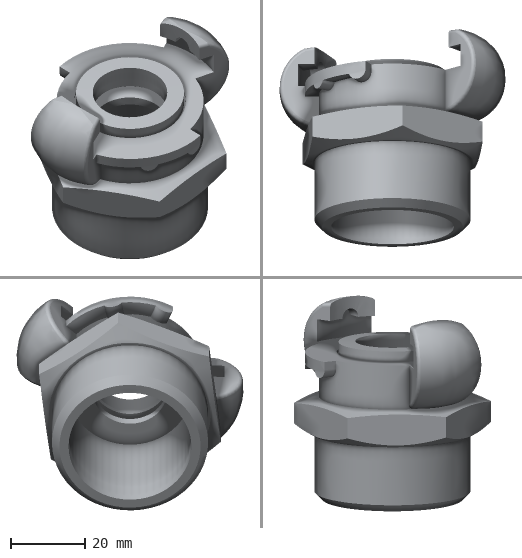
import cadquery as cq
import math

hex_bottom = 18.0
hex_top = 27.95
flange_top = 40.0
seal_top = 43.0

thread_radius = 21.0
thread_chamfer = 2.0
hex_flats = 45.95
hex_corner_radius = hex_flats / math.sqrt(3)
bottom_chamfer_angle = 30.0
corner_top_z = 26.3
corner_bottom_z = 20.8

neck_radius = 19.8
lug_radius = 23.5
lug_thickness = 3.0
bump_radius = 2.5
bump_center_z = 37.8
bump_drop = bump_radius - (bump_center_z - (flange_top - lug_thickness))
second_bump_angle = -34.5

claw_half_angle = 20.0
claw_reach = 31.5
claw_tube_radius = flange_top - hex_top
claw_plan_radius = 18.9
claw_axis_y = claw_reach - claw_plan_radius
claw_root_radius = 17.65
claw_lip_radius = 21.0
claw_tip_z = 51.9
claw_crown_radius = 22.7
claw_edge_fillet = 1.0
slot_radius = 25.4
slot_top = 46.1

bore_radius = 10.0
recess_radius = 15.0
recess_floor = 32.35
inlet_radius = 16.5
inlet_top = 29.85
seal_diameter = 29.0
seal_radius = seal_diameter / 2
seal_rim_z = 42.8
seal_bottom = 36.0
seal_shoulder_z = 39.35
seal_bore_chamfer = 0.5

far = 2 * claw_reach


def disc(radius, bottom, top):
    """Solid cylinder on the Z axis between two heights."""
    return cq.Workplane("XY", origin=(0, 0, bottom)).circle(radius).extrude(top - bottom)


def sector(start_angle, end_angle, bottom, top):
    """Triangular wedge with its point on the Z axis, between two azimuths in degrees."""
    corners = [(0, 0)]
    for angle in (start_angle, end_angle):
        azimuth = math.radians(angle)
        corners.append((far * math.cos(azimuth), far * math.sin(azimuth)))
    return cq.Workplane("XY", origin=(0, 0, bottom)).polyline(corners).close().extrude(top - bottom)


def make_threaded_end():
    return disc(thread_radius, 0, hex_bottom).faces("<Z").chamfer(thread_chamfer)


def make_hexagon():
    """Hexagon with corners on the Y axis and both ends turned to a cone."""
    prism = (
        cq.Workplane("XY", origin=(0, 0, hex_bottom))
        .polygon(6, 2 * hex_corner_radius)
        .extrude(hex_top - hex_bottom)
        .rotate((0, 0, 0), (0, 0, 1), 90)
    )
    bottom_run = (corner_bottom_z - hex_bottom) / math.tan(math.radians(bottom_chamfer_angle))
    turned_profile = [
        (0, hex_bottom),
        (hex_corner_radius - bottom_run, hex_bottom),
        (hex_corner_radius, corner_bottom_z),
        (hex_corner_radius, corner_top_z),
        (neck_radius, hex_top),
        (0, hex_top),
    ]
    turned = cq.Workplane("XZ").polyline(turned_profile).close().revolve(360, (0, 0, 0), (0, 1, 0))
    return prism.intersect(turned)


def make_bump(angle):
    """Radial half-round detent under the lug at an azimuth in degrees."""
    rod = (
        cq.Workplane("YZ")
        .center(0, bump_center_z)
        .circle(bump_radius)
        .extrude(far)
        .rotate((0, 0, 0), (0, 0, 1), angle)
    )
    lug_underside = flange_top - lug_thickness
    return rod.intersect(disc(lug_radius, lug_underside - bump_drop, flange_top))


def make_lug():
    """Locking lug on +X, ending tangent to its first bump and running to the -Y claw."""
    lug_bottom = flange_top - lug_thickness
    plate = disc(lug_radius, lug_bottom, flange_top).intersect(sector(-90, 0, lug_bottom, flange_top))
    end_strip = (
        cq.Workplane("XY", origin=(0, 0, bump_center_z))
        .rect(far, 2 * bump_radius)
        .extrude(flange_top - bump_center_z)
        .intersect(disc(lug_radius, lug_bottom, flange_top))
        .intersect(sector(-45, 45, lug_bottom, flange_top))
    )
    return plate.union(end_strip).union(make_bump(0)).union(make_bump(second_bump_angle))


def make_claw():
    """Claw on +Y: a bulging wedge with a crowned tip, slotted above the flange."""
    tube_center = claw_plan_radius - claw_tube_radius
    bulge = (
        cq.Workplane("XZ", origin=(0, claw_axis_y, 0))
        .moveTo(0, hex_top)
        .lineTo(tube_center, hex_top)
        .threePointArc((claw_plan_radius, flange_top), (tube_center, flange_top + claw_tube_radius))
        .lineTo(0, flange_top + claw_tube_radius)
        .close()
        .revolve(360, (0, 0, 0), (0, 1, 0))
    )
    wedge = sector(90 - claw_half_angle, 90 + claw_half_angle, 0, far)
    crown = (
        cq.Workplane("XZ")
        .center(0, claw_tip_z - claw_crown_radius)
        .circle(claw_crown_radius)
        .extrude(-far)
    )
    claw = bulge.intersect(wedge).intersect(crown).cut(disc(claw_root_radius, 0, far))
    claw = claw.newObject(find_flank_edges(claw)).fillet(claw_edge_fillet)
    slot = disc(slot_radius, flange_top, slot_top)
    lip_clearance = disc(claw_lip_radius, flange_top, far)
    notch = (
        cq.Workplane("XZ")
        .center(0, slot_top)
        .circle(bump_radius)
        .extrude(-slot_radius)
        .intersect(disc(slot_radius, flange_top, far))
    )
    return claw.cut(slot).cut(lip_clearance).cut(notch)


def find_flank_edges(claw):
    """Curved edges that lie in the two flat flanks of the claw."""
    flank_slope = math.tan(math.radians(claw_half_angle))
    tolerance = 0.0005
    found = []
    for edge in claw.edges().vals():
        points = [edge.positionAt(step) for step in (0.1, 0.5, 0.9)]
        in_flank = all(abs(abs(p.x) - p.y * flank_slope) < tolerance for p in points)
        if in_flank and edge.geomType() != "LINE":
            found.append(edge)
    return found


def make_housing():
    housing = make_threaded_end().union(make_hexagon()).union(disc(neck_radius, hex_top, flange_top))
    lug = make_lug()
    claw = make_claw()
    for turn in (0, 180):
        housing = housing.union(lug.rotate((0, 0, 0), (0, 0, 1), turn))
        housing = housing.union(claw.rotate((0, 0, 0), (0, 0, 1), turn))
    housing = housing.cut(disc(bore_radius, 0, flange_top))
    housing = housing.cut(disc(inlet_radius, 0, inlet_top))
    return housing.cut(disc(recess_radius, recess_floor, flange_top))


def make_seal():
    """Seal ring: fits the recess below, stands clear of it above, with a slightly conical top."""
    profile = [
        (bore_radius + seal_bore_chamfer, seal_bottom),
        (recess_radius, seal_bottom),
        (recess_radius, seal_shoulder_z),
        (seal_radius, seal_shoulder_z),
        (seal_radius, seal_rim_z),
        (bore_radius, seal_top),
        (bore_radius, seal_bottom + seal_bore_chamfer),
    ]
    return cq.Workplane("XZ").polyline(profile).close().revolve(360, (0, 0, 0), (0, 1, 0))


housing = make_housing()
seal = make_seal()
result = cq.Compound.makeCompound([housing.solids().val(), seal.val()])